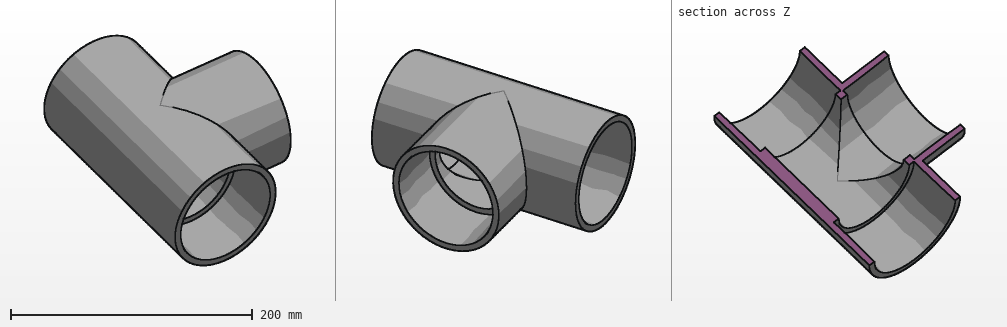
import cadquery as cq

outer_diameter = 100.58
bore_diameter = 77.8
run_length = 193.55
center_to_end = run_length / 2

socket_mouth_diameter = 89.3
socket_shoulder_diameter = 88.4
socket_depth = 50.8

RUN_LEFT = (-1, 0, 0)
RUN_RIGHT = (1, 0, 0)
BRANCH = (0, 1, 0)
OUTLET_DIRECTIONS = (RUN_LEFT, RUN_RIGHT, BRANCH)


def outlet_cylinder(diameter, direction):
    """Cylinder from the tee center out to the end face of one outlet."""
    start = cq.Vector(0, 0, 0)
    solid = cq.Solid.makeCylinder(diameter / 2, center_to_end, start, cq.Vector(*direction))
    return cq.Workplane(obj=solid)


def run_cylinder(diameter):
    """Cylinder along the full length of the run."""
    return cq.Workplane("YZ").circle(diameter / 2).extrude(center_to_end, both=True)


def tee_of_diameter(diameter):
    """Solid tee made of the run and the branch at one common diameter."""
    return run_cylinder(diameter).union(outlet_cylinder(diameter, BRANCH))


def tapered_socket(direction):
    """Cone frustum that opens one outlet from its end face to the shoulder."""
    axis = cq.Vector(*direction)
    solid = cq.Solid.makeCone(
        socket_mouth_diameter / 2,
        socket_shoulder_diameter / 2,
        socket_depth,
        axis * center_to_end,
        axis * -1,
    )
    return cq.Workplane(obj=solid)


result = tee_of_diameter(outer_diameter).cut(tee_of_diameter(bore_diameter))
for outlet_direction in OUTLET_DIRECTIONS:
    result = result.cut(tapered_socket(outlet_direction))